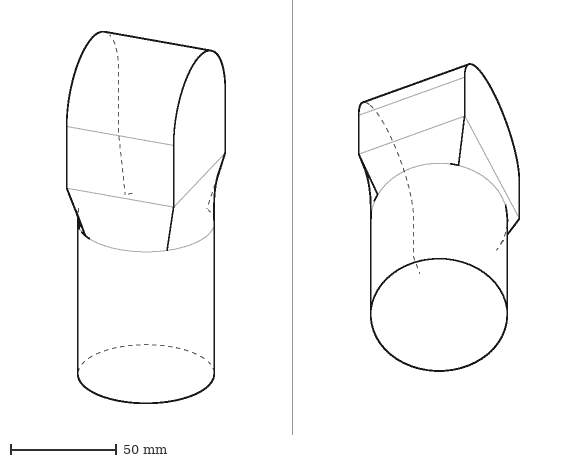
import cadquery as cq
import math

total_height = 172.5
diameter = 65.0
head_thickness = 55.0
shank_height = 80.0
transition_height = 27.5

radius = diameter / 2
head_base = shank_height + transition_height
arc_center_height = total_height - radius

shank = cq.Workplane("XY").circle(radius).extrude(shank_height)

corner_angle = math.atan2(diameter, head_thickness)
split_x = radius * math.cos(corner_angle)
split_y = radius * math.sin(corner_angle)
transition = (
    cq.Workplane("XY")
    .workplane(offset=shank_height)
    .moveTo(-split_x, -split_y)
    .threePointArc((0, -radius), (split_x, -split_y))
    .threePointArc((radius, 0), (split_x, split_y))
    .threePointArc((0, radius), (-split_x, split_y))
    .threePointArc((-radius, 0), (-split_x, -split_y))
    .close()
    .workplane(offset=transition_height)
    .moveTo(-head_thickness / 2, -radius)
    .lineTo(head_thickness / 2, -radius)
    .lineTo(head_thickness / 2, radius)
    .lineTo(-head_thickness / 2, radius)
    .close()
    .loft(ruled=True)
)

head = (
    cq.Workplane("YZ")
    .moveTo(-radius, head_base)
    .lineTo(radius, head_base)
    .lineTo(radius, arc_center_height)
    .threePointArc((0, total_height), (-radius, arc_center_height))
    .close()
    .extrude(head_thickness / 2, both=True)
)

result = shank.union(transition).union(head)